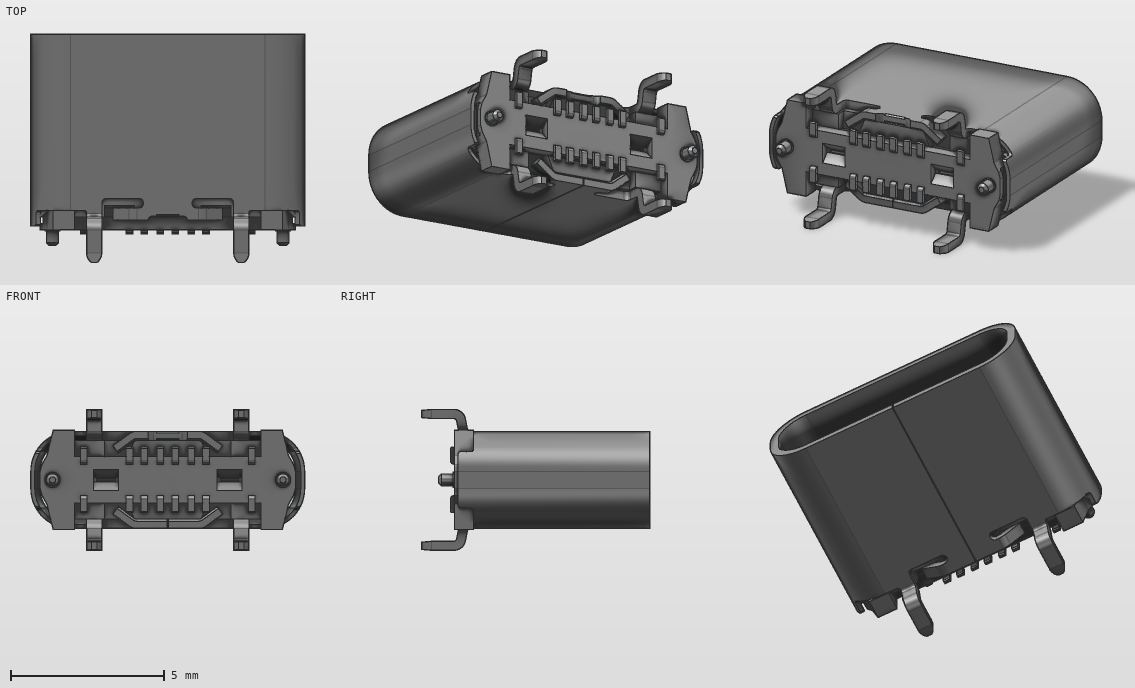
import cadquery as cq
import math


SHELL_WIDTH = 8.94
SHELL_HEIGHT = 3.16
SHELL_CORNER_RADIUS = 1.30
SHEET = 0.30
SHELL_MOUTH_Y = 6.38
SHELL_SIDE_END_Y = 0.12
LIP = 0.13
SIDE_LIP_TAPER_Y = 0.40
SEAM_WIDTH = 0.03

CORNER_NOTCH_Z = 0.92
CORNER_NOTCH_RADIUS = 0.12
CORNER_NOTCH_FLARE = 0.06
CORNER_NOTCH_SIDE_RADIUS = 0.10
CENTER_TAB_END_Y = 0.325
SLOT_INNER_X = 0.79
SLOT_Y = (0.71, 1.02)
SLOT_CORNER_RADIUS = 0.15
TOP_NOTCH_DEPTH = 0.13
TOP_NOTCH_HALF_WIDTHS = (0.65, 0.57)
TOP_NOTCH_RADIUS = 0.20
TOP_NOTCH_CHAMFER = 0.05
TAB_CHAMFER = 0.07

ARM_ROOT_X = 1.00
ARM_BEND_X = 1.15
ARM_ANGLE = 36.0
ARM_LENGTH = 0.79
ARM_OUTER_RADIUS = 0.43
ARM_INNER_RADIUS = 0.13

LEAD_X = 2.40
LEAD_WIDTH = 0.50
LEAD_ROOT_Y = 1.10
LEAD_FLAT_END_Y = 0.53
LEAD_BASE_Y = 0.445
LEAD_LEAN = 0.20
LEAD_TOP_Z = 2.30
LEAD_TIP_Y = -1.07
LEAD_TIP_LENGTH = 0.32
LEAD_TIP_WIDTH = 0.18
LEAD_TIP_BULGE = (0.20, -0.942)
LEAD_TIP_RELIEF = 0.03
LEAD_OUTER_RADIUS = 0.38
LEAD_INNER_RADIUS = 0.10

EAR_HEIGHT = 3.24
EAR_DEPTH = 0.63
EAR_INNER_X = 3.04
EAR_OUTER_X = 3.74
EAR_FLANK = [(3.94, 0.80), (4.11, 0.50), (4.17, 0.28)]
SIDE_GROOVE_X = 4.07
SIDE_GROOVE_Y = (0.20, 0.41)
PLUG_END_Y = 1.50
LEDGE_Z = 0.76
WALL_Y = 0.42
ARM_POCKET_OUTER_X = 2.07
ARM_POCKET_INNER_X = (1.09, 1.33)
ARM_POCKET_Y = (0.71, 0.80)
ARM_POCKET_FLOOR_Z = 0.70

POCKET_X = 2.015
POCKET_WIDTH = 0.83
POCKET_HEIGHT = 0.69
POCKET_FLOOR_HEIGHT = 0.14
POCKET_DEPTH = 0.30
POCKET_SLIT_WIDTH = 0.62
POCKET_SLIT_HEIGHT = 0.08
POCKET_SLIT_DEPTH = 0.60

CONTACT_XS = (0.245, 0.765, 1.25, 2.74)
CONTACT_WIDTH = 0.22
CONTACT_Z = (0.51, 1.07)
CONTACT_Y = (-0.13, 0)
CONTACT_ROUND = 0.12
CONTACT_TIP_CHAMFER = 0.04

POST_X = 3.76
POST_DIAMETER = 0.40
POST_TIP_Y = -0.52
POST_CHAMFER = 0.10
COLLAR_DIAMETER = 0.50
COLLAR_HEIGHT = 0.04

SHEET_TOP_Z = SHELL_HEIGHT / 2
SHEET_BOTTOM_Z = SHEET_TOP_Z - SHEET
LEAD_INNER_EDGE_X = LEAD_X - LEAD_WIDTH / 2
LEAD_OUTER_EDGE_X = LEAD_X + LEAD_WIDTH / 2

FAR = 10.0
PICK_GAP = 0.01
ROUND_CLEARANCE = 0.001


def box(x_range, y_range, z_range):
    """Box spanning the given ranges."""
    size = [limits[1] - limits[0] for limits in (x_range, y_range, z_range)]
    start = (x_range[0], y_range[0], z_range[0])
    return cq.Workplane("XY").box(*size, centered=False).translate(start)


def rear_sketch(y):
    """Plane facing -Y; its local axes are X and Z, and a negative extrude runs to +Y."""
    return cq.Workplane("XZ", origin=(0, y, 0))


def mirrored_x(body):
    return body.union(body.mirror("YZ"))


def mirrored_z(body):
    return body.union(body.mirror("XY"))


def rounded_tube_body(inset, y_start, y_end):
    """Solid with the outline of the shell, moved inwards by inset."""
    width = SHELL_WIDTH - 2 * inset
    height = SHELL_HEIGHT - 2 * inset
    body = rear_sketch(y_start).rect(width, height).extrude(y_start - y_end)
    return body.edges("|Y").fillet(SHELL_CORNER_RADIUS - inset)


def corner_notch():
    """Clearance for one insulator ear, flared at the rear and rounded at its inner corners."""
    low = CORNER_NOTCH_Z
    flare = CORNER_NOTCH_FLARE
    outline = [
        (0, low - flare),
        (SHELL_SIDE_END_Y, low - flare),
        (SHELL_SIDE_END_Y + flare, low),
        (EAR_DEPTH, low),
        (EAR_DEPTH, FAR),
        (0, FAR),
    ]
    notch = cq.Workplane("YZ", origin=(LEAD_OUTER_EDGE_X, 0, 0)).polyline(outline).close().extrude(FAR)
    notch = notch.faces(">Y").edges("<Z").fillet(CORNER_NOTCH_RADIUS)
    return notch.faces(">Y").edges("<X").fillet(CORNER_NOTCH_SIDE_RADIUS)


def lead_gap():
    """Space where the sheet leaves the shell wall to form a lead."""
    return box((LEAD_INNER_EDGE_X, LEAD_OUTER_EDGE_X), (0, LEAD_FLAT_END_Y), (0, FAR))


def arm_slot():
    """Opening between a lead and the centre tab, reaching inwards behind the arm."""
    z_range = (0, FAR)
    slot = box((SLOT_INNER_X, LEAD_INNER_EDGE_X), SLOT_Y, z_range)
    end_radius = (SLOT_Y[1] - SLOT_Y[0]) / 2 - ROUND_CLEARANCE
    slot = slot.edges("|Z and <X").fillet(end_radius)
    slot = slot.edges("|Z and >X and >Y").fillet(SLOT_CORNER_RADIUS)
    mouth = box((ARM_ROOT_X, LEAD_INNER_EDGE_X), (-FAR, SLOT_Y[0] + SLOT_CORNER_RADIUS), z_range)
    return slot.union(mouth)


def top_notch():
    """Shallow trapezoid in the edge of the upper centre tab."""
    wide, narrow = TOP_NOTCH_HALF_WIDTHS
    y_edge = CENTER_TAB_END_Y
    y_floor = y_edge + TOP_NOTCH_DEPTH
    outline = [(-wide, y_edge), (wide, y_edge), (narrow, y_floor), (-narrow, y_floor)]
    notch = cq.Workplane("XY").polyline(outline).close().extrude(FAR)
    return notch.edges("|Z and >Y").fillet(TOP_NOTCH_RADIUS)


def edge_bevel(half_width, y, z, size):
    """Diamond bar along X that bevels the sheet edge at (y, z) by size."""
    diamond = [(y - size, z), (y, z + size), (y + size, z), (y, z - size)]
    return cq.Workplane("YZ", origin=(-half_width, 0, 0)).polyline(diamond).close().extrude(2 * half_width)


def lip_relief(taper_start_y, region):
    """Thinning of the shell from inside, tapering at 45 degrees back to full thickness."""
    taper = SHEET - LIP
    core = rounded_tube_body(LIP, 0, taper_start_y + taper)
    return core.faces(">Y").chamfer(taper).intersect(region)


def shell_tube():
    outer = rounded_tube_body(0, SHELL_SIDE_END_Y, SHELL_MOUTH_Y)
    inner = rounded_tube_body(SHEET, SHELL_SIDE_END_Y, SHELL_MOUTH_Y)
    tube = outer.cut(inner)

    rear_cuts = mirrored_x(corner_notch().union(lead_gap()).union(arm_slot()))
    tab_end = box((-LEAD_OUTER_EDGE_X, LEAD_OUTER_EDGE_X), (-FAR, CENTER_TAB_END_Y), (0, FAR))
    tab_bevel = edge_bevel(ARM_ROOT_X, CENTER_TAB_END_Y, SHEET_BOTTOM_Z, TAB_CHAMFER)
    tube = tube.cut(mirrored_z(rear_cuts.union(tab_end).union(tab_bevel)))

    notch_floor_y = CENTER_TAB_END_Y + TOP_NOTCH_DEPTH
    notch_half_width = TOP_NOTCH_HALF_WIDTHS[1] - TOP_NOTCH_RADIUS
    tube = tube.cut(top_notch())
    tube = tube.cut(edge_bevel(notch_half_width, notch_floor_y, SHEET_TOP_Z, TOP_NOTCH_CHAMFER))
    tube = tube.cut(edge_bevel(notch_half_width, notch_floor_y, SHEET_BOTTOM_Z, TAB_CHAMFER))

    side = box((EAR_INNER_X, FAR), (0, FAR), (-CORNER_NOTCH_Z, CORNER_NOTCH_Z))
    corner = box((LEAD_OUTER_EDGE_X, FAR), (0, FAR), (CORNER_NOTCH_Z, FAR))
    tube = tube.cut(lip_relief(SIDE_LIP_TAPER_Y, mirrored_x(side)))
    tube = tube.cut(lip_relief(EAR_DEPTH, mirrored_z(mirrored_x(corner))))

    seam = box((-SEAM_WIDTH / 2, SEAM_WIDTH / 2), (-FAR, FAR), (-FAR, 0))
    return tube.cut(seam)


def edges_at(x=None, y=None, z=None):
    """Selector for edges whose centre has the given coordinates; an omitted one is free."""
    picks = [(-FAR, FAR) if v is None else (v - PICK_GAP, v + PICK_GAP) for v in (x, y, z)]
    low, high = zip(*picks)
    return cq.selectors.BoxSelector(low, high)


def spring_arm():
    """Sheet tab bent down towards the insulator, on the upper right."""
    angle = math.radians(ARM_ANGLE)
    along = (math.cos(angle) * ARM_LENGTH, -math.sin(angle) * ARM_LENGTH)
    across = (-math.sin(angle) * SHEET, -math.cos(angle) * SHEET)
    tip_top = (ARM_BEND_X + along[0], SHEET_TOP_Z + along[1])
    tip_bottom = (tip_top[0] + across[0], tip_top[1] + across[1])
    inner_bend_x = ARM_BEND_X - SHEET * math.tan(angle / 2)
    arm = (
        rear_sketch(CENTER_TAB_END_Y)
        .moveTo(ARM_ROOT_X, SHEET_TOP_Z)
        .lineTo(ARM_BEND_X, SHEET_TOP_Z)
        .lineTo(*tip_top)
        .lineTo(*tip_bottom)
        .lineTo(inner_bend_x, SHEET_BOTTOM_Z)
        .lineTo(ARM_ROOT_X, SHEET_BOTTOM_Z)
        .close()
        .extrude(CENTER_TAB_END_Y - SLOT_Y[0])
    )
    arm = arm.edges("|Y").edges(edges_at(x=ARM_BEND_X, z=SHEET_TOP_Z)).fillet(ARM_OUTER_RADIUS)
    arm = arm.edges("|Y").edges(edges_at(x=inner_bend_x, z=SHEET_BOTTOM_Z)).fillet(ARM_INNER_RADIUS)
    return arm.faces("<Y").edges("|X").edges("<Z").chamfer(TAB_CHAMFER)


def lead():
    """Lead bent out of the upper sheet and back towards the board, on the upper right."""
    height = LEAD_TOP_Z - SHEET_TOP_Z
    shift = LEAD_LEAN * height
    across = SHEET * math.sqrt(1 + LEAD_LEAN**2)
    lower_back_y = LEAD_BASE_Y - across + LEAD_LEAN * SHEET
    upper_back_y = LEAD_BASE_Y - across - LEAD_LEAN * (height - SHEET)
    shank_end_y = LEAD_TIP_Y + LEAD_TIP_LENGTH
    outline = [
        (LEAD_ROOT_Y, SHEET_BOTTOM_Z),
        (LEAD_ROOT_Y, SHEET_TOP_Z),
        (LEAD_BASE_Y, SHEET_TOP_Z),
        (LEAD_BASE_Y - shift, LEAD_TOP_Z),
        (shank_end_y, LEAD_TOP_Z),
        (shank_end_y, LEAD_TOP_Z - SHEET),
        (upper_back_y, LEAD_TOP_Z - SHEET),
        (lower_back_y, SHEET_BOTTOM_Z),
    ]
    body = (
        cq.Workplane("YZ", origin=(LEAD_INNER_EDGE_X, 0, 0)).polyline(outline).close().extrude(LEAD_WIDTH)
    )
    inner_bends = [(outline[2], LEAD_INNER_RADIUS), (outline[6], LEAD_INNER_RADIUS)]
    outer_bends = [(outline[3], LEAD_OUTER_RADIUS), (outline[7], LEAD_OUTER_RADIUS)]
    for (y, z), radius in inner_bends + outer_bends:
        body = body.edges("|X").edges(edges_at(y=y, z=z)).fillet(radius)
    return body.union(lead_tip(shank_end_y))


def lead_tip(start_y):
    """Rounded end of a lead, thinning towards its tip."""
    half = LEAD_WIDTH / 2
    half_tip = LEAD_TIP_WIDTH / 2
    bulge_x, bulge_y = LEAD_TIP_BULGE
    bottom_z = LEAD_TOP_Z - SHEET
    rounded = (
        cq.Workplane("XY", origin=(LEAD_X, 0, bottom_z))
        .moveTo(-half, start_y)
        .threePointArc((-bulge_x, bulge_y), (-half_tip, LEAD_TIP_Y))
        .lineTo(half_tip, LEAD_TIP_Y)
        .threePointArc((bulge_x, bulge_y), (half, start_y))
        .close()
        .extrude(SHEET)
    )
    side = [
        (start_y, bottom_z),
        (start_y, LEAD_TOP_Z),
        (LEAD_TIP_Y, LEAD_TOP_Z - LEAD_TIP_RELIEF),
        (LEAD_TIP_Y, bottom_z + LEAD_TIP_RELIEF),
    ]
    return rounded.intersect(cq.Workplane("YZ").polyline(side).close().extrude(FAR))


def insulator_outline(y_start, y_end):
    """Full insulator section: tall ears with waisted sides."""
    top = EAR_HEIGHT / 2
    upper_half = [(EAR_OUTER_X, top)] + EAR_FLANK
    lower_half = [(x, -z) for x, z in reversed(upper_half)]
    right = upper_half + lower_half
    left = [(-x, z) for x, z in reversed(right)]
    return rear_sketch(y_start).polyline(right + left).close().extrude(y_start - y_end)


def arm_pocket():
    """Clearance in the insulator around a spring arm, with a steep back, on the upper right."""
    y_low, y_high = ARM_POCKET_Y
    floor_z, top_z = ARM_POCKET_FLOOR_Z, SHEET_BOTTOM_Z
    profile = [(WALL_Y, floor_z), (y_low, floor_z), (y_high, top_z), (WALL_Y, top_z)]
    x_top, x_low = ARM_POCKET_INNER_X
    x_outer = ARM_POCKET_OUTER_X
    face = [(x_top, top_z), (x_outer, top_z), (x_outer, floor_z), (x_low, floor_z)]
    sides = rear_sketch(0).polyline(face).close().extrude(-y_high)
    return cq.Workplane("YZ").polyline(profile).close().extrude(x_outer).intersect(sides)


def side_groove():
    """Relief behind the rear flange, on the right flank of the insulator."""
    return box((SIDE_GROOVE_X, FAR), SIDE_GROOVE_Y, (-CORNER_NOTCH_Z, CORNER_NOTCH_Z))


def rear_pocket(x):
    """Pocket with sloping upper and lower walls and a narrow slit in its floor."""
    mouth_z = POCKET_HEIGHT / 2
    floor_z = POCKET_FLOOR_HEIGHT / 2
    profile = [(0, mouth_z), (POCKET_DEPTH, floor_z), (POCKET_DEPTH, -floor_z), (0, -mouth_z)]
    start_x = x - POCKET_WIDTH / 2
    pocket = cq.Workplane("YZ", origin=(start_x, 0, 0)).polyline(profile).close().extrude(POCKET_WIDTH)
    slit = rear_sketch(0).center(x, 0).rect(POCKET_SLIT_WIDTH, POCKET_SLIT_HEIGHT).extrude(-POCKET_SLIT_DEPTH)
    return pocket.union(slit)


def insulator():
    plug = insulator_outline(EAR_DEPTH, PLUG_END_Y).intersect(
        rounded_tube_body(SHEET, EAR_DEPTH, PLUG_END_Y)
    )
    body = insulator_outline(0, EAR_DEPTH)
    step = box((-EAR_INNER_X, EAR_INNER_X), (0, WALL_Y), (LEDGE_Z, FAR))
    over = box((-EAR_INNER_X, EAR_INNER_X), (0, EAR_DEPTH), (SHEET_BOTTOM_Z, FAR))
    body = body.cut(mirrored_z(step.union(over))).union(plug)
    body = body.cut(mirrored_z(mirrored_x(arm_pocket())))
    body = body.cut(mirrored_x(side_groove()))
    for x in (-POCKET_X, POCKET_X):
        body = body.cut(rear_pocket(x))
    return body


def contact(x):
    """Contact tail on the rear face, rounded at its inner end and bevelled at its outer end."""
    tail = box((x - CONTACT_WIDTH / 2, x + CONTACT_WIDTH / 2), CONTACT_Y, CONTACT_Z)
    tail = tail.faces("<Y").edges("<Z").fillet(CONTACT_ROUND)
    return tail.faces(">Z").edges("|X").chamfer(CONTACT_TIP_CHAMFER)


def post(x):
    pin = rear_sketch(0).center(x, 0).circle(POST_DIAMETER / 2).extrude(-POST_TIP_Y)
    pin = pin.faces("<Y").chamfer(POST_CHAMFER)
    return pin.union(rear_sketch(0).center(x, 0).circle(COLLAR_DIAMETER / 2).extrude(COLLAR_HEIGHT))


result = shell_tube().union(mirrored_z(mirrored_x(spring_arm())))
result = result.union(mirrored_z(mirrored_x(lead())))
result = result.union(insulator())
for contact_x in CONTACT_XS:
    result = result.union(mirrored_z(mirrored_x(contact(contact_x))))
for post_x in (-POST_X, POST_X):
    result = result.union(post(post_x))